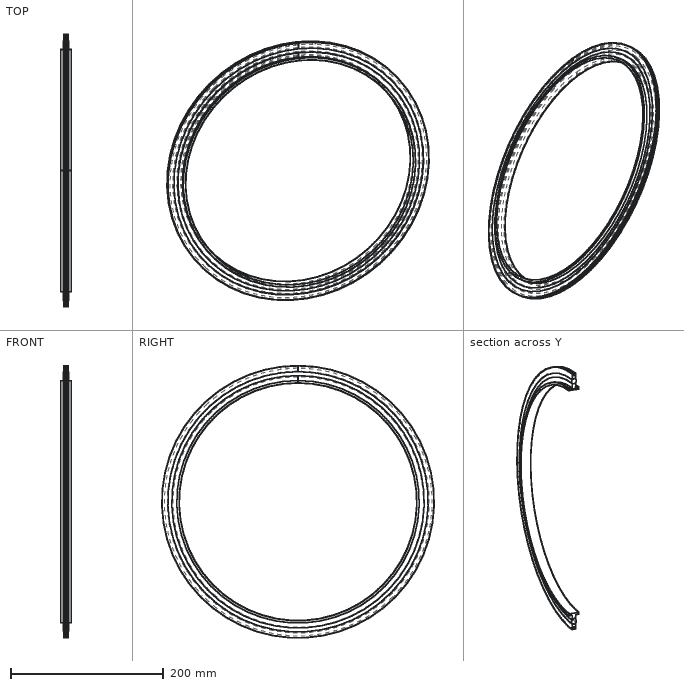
import cadquery as cq
import math

outer_radius = 179.0

bore_radius = 156.0
flange_radius = 159.3
flange_width = 14.0
web_width = 5.5

seal_centre_radius = 168.4
seal_section_radius = 3.75

groove_width = 2.5
groove_depth = 3.0
groove_floor_radius = outer_radius - groove_depth

pin_section_radius = 1.0
pin_centre_radius = groove_floor_radius + pin_section_radius
pin_half_angle = 7.6

slit_width = 0.5
slit_floor_radius = 158.0

half_web = web_width / 2
seal_half_chord = math.sqrt(seal_section_radius**2 - half_web**2)
web_radius = seal_centre_radius - seal_half_chord
outer_ring_bore_radius = seal_centre_radius + seal_half_chord

AXIS_POINT = (0, 0, 0)
AXIS_DIRECTION = (1, 0, 0)


def revolve_about_x(profile):
    return profile.revolve(360, AXIS_POINT, AXIS_DIRECTION)


def make_slit():
    """Thin radial cutter at the top, from just inside the flange surface out to the rim."""
    height = outer_radius - slit_floor_radius
    return (
        cq.Workplane("XY", origin=(0, 0, slit_floor_radius))
        .box(flange_width, slit_width, height, centered=(True, True, False))
    )


def make_centering_ring():
    """Flange and web, with the web's rim hollowed to seat the seal."""
    half_flange = flange_width / 2
    profile = (
        cq.Workplane("XZ")
        .moveTo(-half_flange, bore_radius)
        .lineTo(half_flange, bore_radius)
        .lineTo(half_flange, flange_radius)
        .lineTo(half_web, flange_radius)
        .lineTo(half_web, web_radius)
        .threePointArc((0, seal_centre_radius - seal_section_radius), (-half_web, web_radius))
        .lineTo(-half_web, flange_radius)
        .lineTo(-half_flange, flange_radius)
        .close()
    )
    return revolve_about_x(profile).cut(make_slit())


def make_seal():
    torus = cq.Solid.makeTorus(
        seal_centre_radius, seal_section_radius, cq.Vector(AXIS_POINT), cq.Vector(AXIS_DIRECTION)
    )
    return cq.Workplane(torus)


def make_outer_ring():
    """Slit ring with its bore hollowed around the seal and a groove in its rim."""
    half_groove = groove_width / 2
    groove_arc_radius = groove_floor_radius + half_groove
    profile = (
        cq.Workplane("XZ")
        .moveTo(-half_web, outer_ring_bore_radius)
        .threePointArc(
            (0, seal_centre_radius + seal_section_radius), (half_web, outer_ring_bore_radius)
        )
        .lineTo(half_web, outer_radius)
        .lineTo(half_groove, outer_radius)
        .lineTo(half_groove, groove_arc_radius)
        .threePointArc((0, groove_floor_radius), (-half_groove, groove_arc_radius))
        .lineTo(-half_groove, outer_radius)
        .lineTo(-half_web, outer_radius)
        .close()
    )
    return revolve_about_x(profile).cut(make_slit())


def make_pin():
    """Round bar bent about the X axis, centred on the slit."""
    profile = cq.Workplane("XZ").center(0, pin_centre_radius).circle(pin_section_radius)
    bar = profile.revolve(
        2 * pin_half_angle, (0, -pin_centre_radius, 0), (1, -pin_centre_radius, 0)
    )
    return bar.rotate(AXIS_POINT, AXIS_DIRECTION, -pin_half_angle)


centering_ring = make_centering_ring()
seal = make_seal()
outer_ring = make_outer_ring()
pin = make_pin()

result = cq.Compound.makeCompound(
    [centering_ring.val(), seal.val(), outer_ring.val(), pin.val()]
)